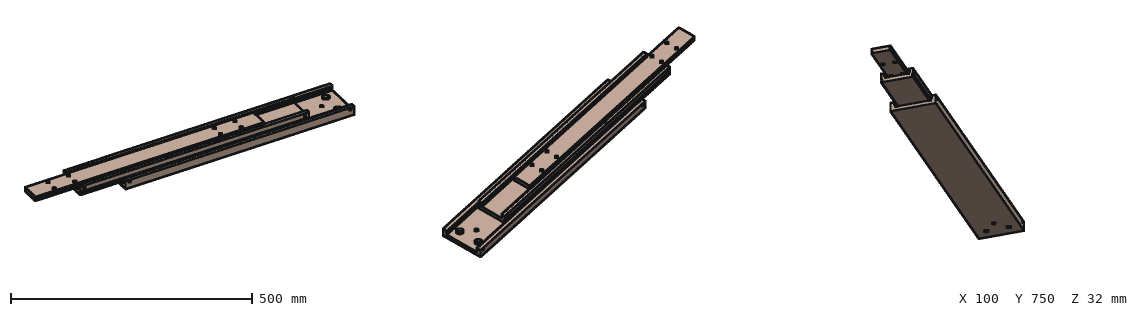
import cadquery as cq

RAIL_LENGTH = 550.0
TOTAL_LENGTH = 750.0
EXTENSION = (TOTAL_LENGTH - RAIL_LENGTH) / 2

OUTER_WIDTH = 100.0
OUTER_HEIGHT = 20.0
OUTER_FLOOR = 9.0
OUTER_WALL = 10.5

MIDDLE_WIDTH = 70.0
MIDDLE_BOTTOM = 10.5
MIDDLE_FLOOR = 10.0
MIDDLE_WALL = 9.0
MIDDLE_TOP = 31.5

INNER_WIDTH = 42.0
INNER_BOTTOM = 22.0
INNER_TOP = 32.0

RACE_HALF_HEIGHT = 3.0
RACE_DEPTH = 2.1
RACE_FLANK_RADIUS = 4.35
LOWER_RACE_Z = 16.0
UPPER_RACE_Z = 25.5

STOP_HOLE_DIAMETER = 5.0
STOP_HOLE_INSET = 10.0

SCREW_X = 25.0
SCREW_INSET = 25.0
SCREW_HOLE_DIAMETER = 9.0
COUNTERSINK_DIAMETER = 16.5
COUNTERSINK_ANGLE = 90
CENTRE_HOLE_INSET = 2 * SCREW_INSET
CENTRE_HOLE_DIAMETER = 7.5

FIXING_X = 13.0
FIXING_INSETS = (50.0, 100.0)
FIXING_HOLE_DIAMETER = 7.0

OUTER_Y = EXTENSION
MIDDLE_Y = 0.0
INNER_Y = -EXTENSION


def bar(width, bottom, top, y):
    """Full-length block centred on X."""
    base = cq.Workplane("XY", origin=(0, y, bottom))
    return base.box(width, RAIL_LENGTH, top - bottom, centered=(True, True, False))


def channel(width, bottom, floor, wall, top, y):
    """Full-length U-shaped rail, open at the top and at both ends."""
    return bar(width, bottom, top, y).cut(bar(width - 2 * wall, bottom + floor, top, y))


def race_pair(gauge, z, y):
    """Two full-length cutters for grooves in side faces that are `gauge` apart."""
    cutters = cq.Workplane("XZ", origin=(0, y, z))
    for x in (-gauge / 2, gauge / 2):
        cutters = (
            cutters.moveTo(x + RACE_DEPTH, 0)
            .radiusArc((x, -RACE_HALF_HEIGHT), RACE_FLANK_RADIUS)
            .radiusArc((x - RACE_DEPTH, 0), RACE_FLANK_RADIUS)
            .radiusArc((x, RACE_HALF_HEIGHT), RACE_FLANK_RADIUS)
            .radiusArc((x + RACE_DEPTH, 0), RACE_FLANK_RADIUS)
            .close()
        )
    return cutters.extrude(RAIL_LENGTH / 2, both=True)


def stop_holes(width, z, y):
    """Cross holes near both ends of a channel."""
    offset = RAIL_LENGTH / 2 - STOP_HOLE_INSET
    return (
        cq.Workplane("YZ", origin=(0, y, z))
        .pushPoints([(-offset, 0), (offset, 0)])
        .circle(STOP_HOLE_DIAMETER / 2)
        .extrude(width / 2, both=True)
    )


def make_outer_rail():
    """Channel with races inside, stop holes, and mounting holes at one end."""
    rail = channel(OUTER_WIDTH, 0, OUTER_FLOOR, OUTER_WALL, OUTER_HEIGHT, OUTER_Y)
    rail = rail.cut(race_pair(OUTER_WIDTH - 2 * OUTER_WALL, LOWER_RACE_Z, OUTER_Y))
    rail = rail.cut(stop_holes(OUTER_WIDTH, LOWER_RACE_Z, OUTER_Y))
    rail_end = OUTER_Y + RAIL_LENGTH / 2
    floor_plane = cq.Workplane("XY", origin=(0, rail_end, OUTER_FLOOR))
    rail = rail.copyWorkplane(floor_plane)
    rail = rail.pushPoints([(-SCREW_X, -SCREW_INSET), (SCREW_X, -SCREW_INSET)])
    rail = rail.cskHole(SCREW_HOLE_DIAMETER, COUNTERSINK_DIAMETER, COUNTERSINK_ANGLE)
    rail = rail.copyWorkplane(floor_plane)
    return rail.pushPoints([(0, -CENTRE_HOLE_INSET)]).hole(CENTRE_HOLE_DIAMETER)


def make_middle_rail():
    """Channel with races on the outside and the inside of its walls."""
    rail = channel(MIDDLE_WIDTH, MIDDLE_BOTTOM, MIDDLE_FLOOR, MIDDLE_WALL, MIDDLE_TOP, MIDDLE_Y)
    rail = rail.cut(race_pair(MIDDLE_WIDTH, LOWER_RACE_Z, MIDDLE_Y))
    rail = rail.cut(race_pair(MIDDLE_WIDTH - 2 * MIDDLE_WALL, UPPER_RACE_Z, MIDDLE_Y))
    return rail.cut(stop_holes(MIDDLE_WIDTH, UPPER_RACE_Z, MIDDLE_Y))


def make_inner_rail():
    """Flat bar with races along its sides and fixing holes through it."""
    rail = bar(INNER_WIDTH, INNER_BOTTOM, INNER_TOP, INNER_Y)
    rail = rail.cut(race_pair(INNER_WIDTH, UPPER_RACE_Z, INNER_Y))
    points = [
        (side * FIXING_X, end * (RAIL_LENGTH / 2 - inset))
        for side in (-1, 1)
        for end in (-1, 1)
        for inset in FIXING_INSETS
    ]
    top_plane = cq.Workplane("XY", origin=(0, INNER_Y, INNER_TOP))
    return rail.copyWorkplane(top_plane).pushPoints(points).hole(FIXING_HOLE_DIAMETER)


outer_rail = make_outer_rail()
middle_rail = make_middle_rail()
inner_rail = make_inner_rail()

result = cq.Compound.makeCompound([outer_rail.val(), middle_rail.val(), inner_rail.val()])